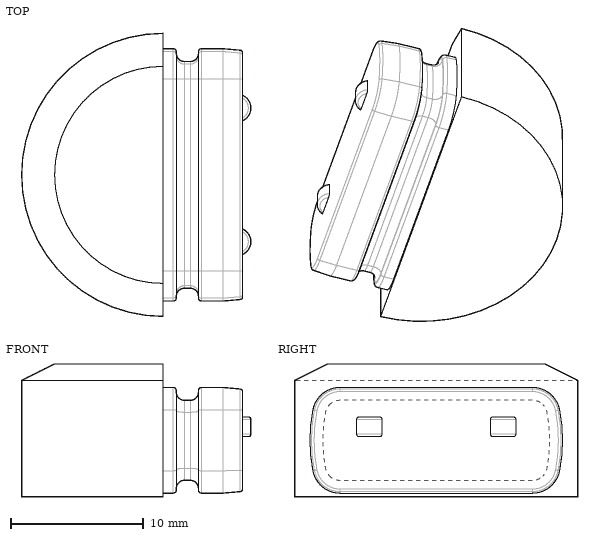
import cadquery as cq
import math

body_radius = 10.7
body_height = 10.06
bevel_drop = 1.25
bevel_inset = 2.5

plug_length = 6.0
plug_width = 19.08
plug_height = 8.0
plug_center_z = 4.28
plug_end_radius = 12.0
plug_corner_radius = 2.1
tip_length = 1.5
tip_draft_angle = 5.0
tip_round = 0.2

groove_start = 1.0
groove_width = 1.65
groove_depth = 0.97
groove_floor_round = 0.6
groove_lip_round = 0.25

selection_margin = 0.05

bump_radius = 1.05
bump_height = 1.5
bump_reach = 0.63
bump_spacing = 10.1
bump_center_z = 5.3
bump_round = 0.2


def make_body():
    """Half cylinder with a conical bevel around its top edge."""
    profile = (
        cq.Workplane("XZ")
        .lineTo(body_radius, 0)
        .lineTo(body_radius, body_height - bevel_drop)
        .lineTo(body_radius - bevel_inset, body_height)
        .lineTo(0, body_height)
        .close()
    )
    full_round = profile.revolve(360, (0, 0, 0), (0, 1, 0))
    cutter = cq.Workplane("XY").box(
        2 * body_radius, 2 * body_radius, body_height, centered=(False, True, False)
    )
    return full_round.cut(cutter)


def plug_section(start_x, inset=0.0):
    """Plug outline at start_x, drawn inset inward: flat top and bottom, bowed ends, round corners."""
    half_width = plug_width / 2 - inset
    half_height = plug_height / 2 - inset
    end_radius = plug_end_radius - inset
    corner_radius = plug_corner_radius - inset

    end_center_y = half_width - end_radius
    corner_z = half_height - corner_radius
    end_angle = math.asin(corner_z / (end_radius - corner_radius))
    corner_y = end_center_y + (end_radius - corner_radius) * math.cos(end_angle)
    join_y = end_center_y + end_radius * math.cos(end_angle)
    join_z = end_radius * math.sin(end_angle)
    corner_mid_angle = (end_angle + math.pi / 2) / 2
    mid_y = corner_y + corner_radius * math.cos(corner_mid_angle)
    mid_z = corner_z + corner_radius * math.sin(corner_mid_angle)

    return (
        cq.Workplane("YZ", origin=(start_x, 0, plug_center_z))
        .moveTo(-corner_y, half_height)
        .lineTo(corner_y, half_height)
        .threePointArc((mid_y, mid_z), (join_y, join_z))
        .threePointArc((half_width, 0), (join_y, -join_z))
        .threePointArc((mid_y, -mid_z), (corner_y, -half_height))
        .lineTo(-corner_y, -half_height)
        .threePointArc((-mid_y, -mid_z), (-join_y, -join_z))
        .threePointArc((-half_width, 0), (-join_y, join_z))
        .threePointArc((-mid_y, mid_z), (-corner_y, half_height))
        .close()
    )


def make_shank():
    """Straight part of the plug: collar, groove with rounded lips and floor, and head."""
    groove_end = groove_start + groove_width
    collar = plug_section(0).extrude(groove_start)
    collar = collar.faces(">X").edges().fillet(groove_lip_round)
    floor = plug_section(groove_start, groove_depth).extrude(groove_width)
    head = plug_section(groove_end).extrude(plug_length - tip_length - groove_end)
    head = head.faces("<X").edges().fillet(groove_lip_round)

    half_width = plug_width / 2 - groove_depth + selection_margin
    half_height = plug_height / 2 - groove_depth + selection_margin
    groove_box = cq.selectors.BoxSelector(
        (groove_start - selection_margin, -half_width, plug_center_z - half_height),
        (groove_end + selection_margin, half_width, plug_center_z + half_height),
    )
    shank = collar.union(floor).union(head)
    return shank.edges(groove_box).edges("not |X").fillet(groove_floor_round)


def make_tip():
    """Tapered end of the plug with a rounded rim."""
    tip = plug_section(plug_length - tip_length).extrude(tip_length, taper=tip_draft_angle)
    return tip.faces(">X").edges().fillet(tip_round)


def make_bump(center_y):
    """Upright disc with rounded rims, sunk into the plug so that only its front stands out."""
    center_x = plug_length + bump_reach - bump_radius
    bottom_z = bump_center_z - bump_height / 2
    disc = cq.Workplane("XY", origin=(center_x, center_y, bottom_z)).circle(bump_radius).extrude(bump_height)
    return disc.faces("|Z").edges().fillet(bump_round)


result = make_body().union(make_shank()).union(make_tip())
for side in (-1, 1):
    result = result.union(make_bump(side * bump_spacing / 2))